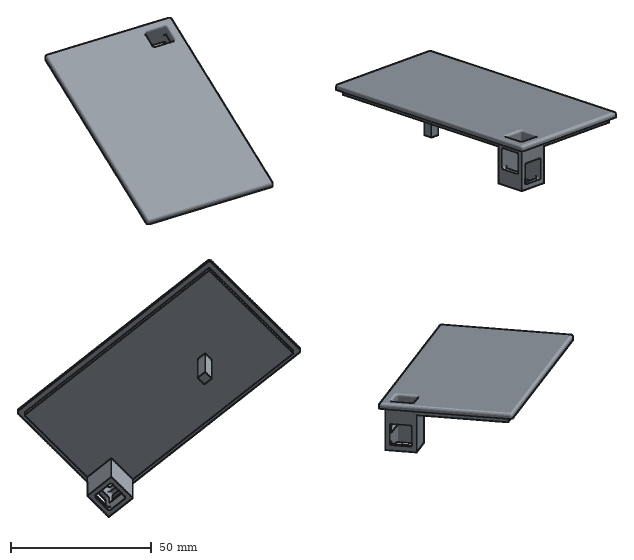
import cadquery as cq

length = 92.0
width = 49.0
height = 18.0

plate_thickness = 2.0
lip_inset = 2.0
lip_depth = 2.0
edge_radius = 1.0

housing_size = 11.5
shaft_size = 8.0
opening_corner_radius = 0.7
mouth_radius = 0.8

side_window_bottom = 2.0
back_window_bottom = 6.0

post_size = 3.6
post_from_left = 63.0
post_from_back = 19.4

left = -length / 2
back = width / 2
plate_bottom = height - plate_thickness
lip_bottom = plate_bottom - lip_depth
housing_left = left + lip_inset
housing_back = back - lip_inset
housing_x = housing_left + housing_size / 2
housing_y = housing_back - housing_size / 2


def block(size_x, size_y, bottom, top, x=0, y=0):
    """Upright block centred on (x, y), spanning bottom to top."""
    box = cq.Workplane("XY").box(size_x, size_y, top - bottom, centered=(True, True, False))
    return box.translate((x, y, bottom))


def make_plate():
    """Plate with rounded corners and top edges."""
    plate = block(length, width, plate_bottom, height)
    return plate.edges("|Z or >Z").fillet(edge_radius)


def make_supports():
    """Lip, housing and post under the plate."""
    lip = block(length - 2 * lip_inset, width - 2 * lip_inset, lip_bottom, plate_bottom)
    housing = block(housing_size, housing_size, 0, lip_bottom, housing_x, housing_y)
    post_x = left + post_from_left + post_size / 2
    post_y = back - post_from_back - post_size / 2
    post = block(post_size, post_size, 0, lip_bottom, post_x, post_y)
    return lip.union(housing).union(post)


def cut_shaft(body):
    """Open the housing from top to bottom and round over the mouth."""
    shaft = block(shaft_size, shaft_size, 0, height, housing_x, housing_y)
    body = body.cut(shaft.edges("|Z").fillet(opening_corner_radius))
    reach = shaft_size / 2 + mouth_radius
    mouth = cq.selectors.BoxSelector(
        (housing_x - reach, housing_y - reach, height - mouth_radius / 2),
        (housing_x + reach, housing_y + reach, height + mouth_radius / 2),
    )
    return body.edges(mouth).fillet(mouth_radius)


def make_side_window():
    """Rounded square opening from the -X face into the shaft."""
    depth = housing_size / 2
    top = side_window_bottom + shaft_size
    window = block(depth, shaft_size, side_window_bottom, top, housing_x - depth / 2, housing_y)
    return window.edges("|X").fillet(opening_corner_radius)


def make_back_window():
    """Rounded square opening from the +Y face into the shaft."""
    depth = housing_size / 2
    top = back_window_bottom + shaft_size
    window = block(shaft_size, depth, back_window_bottom, top, housing_x, housing_y + depth / 2)
    return window.edges("|Y").fillet(opening_corner_radius)


body = cut_shaft(make_plate().union(make_supports()))
result = body.cut(make_side_window()).cut(make_back_window())